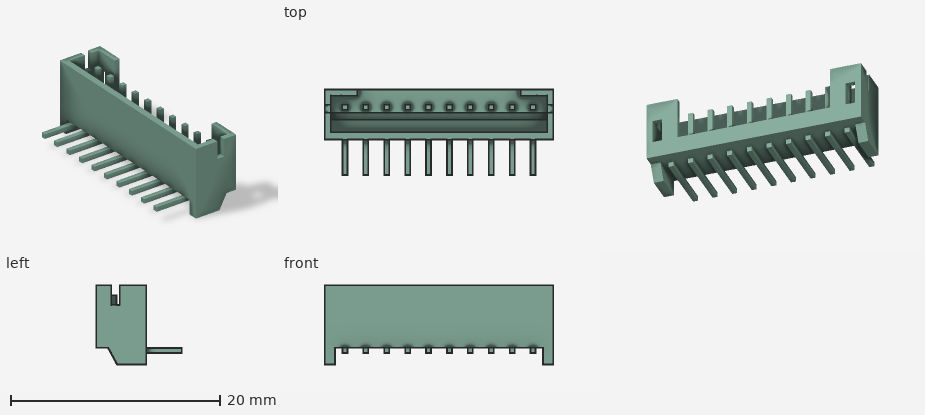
import cadquery as cq


pin_count = 10
pin_pitch = 2.0
pin_size = 0.5
pin_rear_y = -1.45
tail_length = 3.4
pin_tip_drop = 0.95

end_margin = 1.95
length = (pin_count - 1) * pin_pitch + 2 * end_margin
depth = 4.8
height = 6.0
wall = 0.6
front_wall = 0.7
rear_tab_length = 3.15

shelf_z = 1.7
slope_top_y = -2.25
slope_size = 0.65

notch_depth = 1.9
window_width = 1.0
window_top_drop = 1.95
leg_width = 1.0
leg_height = 1.6
leg_rear_y = -1.13
leg_slope_run = 0.87

SIDES = (-1, 1)


def box(x_range, y_range, z_range):
    """Box spanning the given (low, high) ranges."""
    lows, highs = zip(x_range, y_range, z_range)
    sizes = [high - low for low, high in zip(lows, highs)]
    return cq.Workplane("XY").box(*sizes, centered=False).translate(lows)


def extrude_along_x(profile_yz, x_start, x_length):
    """Prism of a closed (y, z) outline running along +X."""
    return cq.Workplane("YZ", origin=(x_start, 0, 0)).polyline(profile_yz).close().extrude(x_length)


def mirrored_range(side, inner, outer):
    """X range between two distances from the centre, on the given side."""
    return tuple(sorted((side * inner, side * outer)))


def make_cavity():
    """Cavity between the end walls, stepping down towards the front wall."""
    slope_foot_y = slope_top_y - slope_size
    trough_z = shelf_z - slope_size
    front_y = front_wall - depth
    profile = [
        (-wall, height),
        (-wall, shelf_z),
        (slope_top_y, shelf_z),
        (slope_foot_y, trough_z),
        (front_y, trough_z),
        (front_y, height),
    ]
    return extrude_along_x(profile, wall - length / 2, length - 2 * wall)


def make_leg(side):
    """Mounting leg under one end, with a sloped rear edge."""
    profile = [
        (leg_rear_y, 0),
        (leg_rear_y - leg_slope_run, -leg_height),
        (-depth, -leg_height),
        (-depth, 0),
    ]
    x_start, _ = mirrored_range(side, length / 2 - leg_width, length / 2)
    return extrude_along_x(profile, x_start, leg_width)


def make_housing():
    """Open-topped housing with its openings and legs."""
    half = length / 2
    inner_half = half - wall
    opening_half = half - rear_tab_length
    housing = box((-half, half), (-depth, 0), (0, height)).cut(make_cavity())
    housing = housing.cut(box((-opening_half, opening_half), (-wall, 0), (shelf_z, height)))
    for side in SIDES:
        notch = box(
            mirrored_range(side, inner_half, half),
            (slope_top_y, pin_rear_y),
            (height - notch_depth, height),
        )
        window = box(
            mirrored_range(side, inner_half - window_width, inner_half),
            (-wall, 0),
            (shelf_z, height - window_top_drop),
        )
        housing = housing.cut(notch).cut(window).union(make_leg(side))
    return housing


def make_pin(x_centre):
    """L-shaped square pin: upright through the floor, tail running forward under the housing."""
    tip_z = height - pin_tip_drop
    upright_front_y = pin_rear_y - pin_size
    profile = [
        (pin_rear_y, tip_z),
        (pin_rear_y, -pin_size),
        (-depth - tail_length, -pin_size),
        (-depth - tail_length, 0),
        (upright_front_y, 0),
        (upright_front_y, tip_z),
    ]
    return extrude_along_x(profile, x_centre - pin_size / 2, pin_size)


result = make_housing()
for index in range(pin_count):
    result = result.union(make_pin((index - (pin_count - 1) / 2) * pin_pitch))